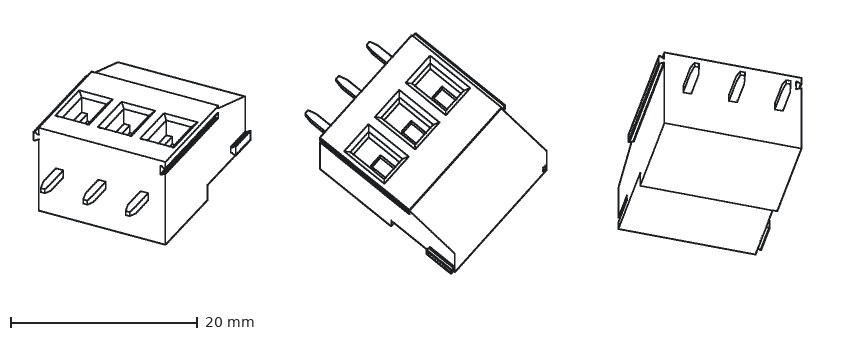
import cadquery as cq

body_width = 15.2
body_height = 10.5
body_depth = 19.0
half_width = body_width / 2

top_depth = 12.6
ledge_drop = 0.32
slope_drop = 2.4
back_radius = 0.28
foot_depth = 10.03
step_height = 1.9

pole_count = 3
pole_pitch = 5.08
pin_size = 0.9
pin_height = 5.52
pin_straight = 3.0
pin_tip = 1.01
pin_tip_size = 0.5

pocket_width = 4.02
pocket_length = 5.65
pocket_front = 3.0
funnel_depth = 0.5
funnel_side_inset = 0.5
funnel_end_inset = 0.45
pocket_depth = 2.4
slot_width = 1.6
slot_length = 2.48
slot_depth = 0.92

rail_reach = 0.62

upper_drop = 1.22
upper_neck_height = 0.62
upper_head_height = 1.1
upper_neck_reach = 0.1
upper_flare_reach = 0.48
upper_tip_bevel_reach = 0.07
upper_tip_bevel_height = 0.05

lower_drop = 7.22
lower_length = 3.52
lower_neck_height = 0.7
lower_head_height = 1.15
lower_neck_reach = 0.18
lower_flare_reach = 0.53

upper_steps = [
    (0, upper_neck_height),
    (upper_neck_reach, upper_neck_height),
    (upper_flare_reach, upper_head_height),
    (rail_reach - upper_tip_bevel_reach, upper_head_height),
    (rail_reach, upper_head_height - 2 * upper_tip_bevel_height),
]
lower_steps = [
    (0, lower_neck_height),
    (lower_neck_reach, lower_neck_height),
    (lower_flare_reach, lower_head_height),
    (rail_reach, lower_head_height),
]


def make_body():
    slope_end = body_height - slope_drop
    profile = [
        (0, 0),
        (foot_depth, 0),
        (foot_depth, step_height),
        (body_depth, step_height),
        (body_depth, slope_end),
        (top_depth, body_height - ledge_drop),
        (top_depth, body_height),
        (0, body_height),
    ]
    body = cq.Workplane("YZ").polyline(profile).close().extrude(half_width, both=True)
    back_top_edge = cq.selectors.NearestToPointSelector((0, body_depth, slope_end))
    return body.edges(back_top_edge).fillet(back_radius)


def dovetail(root_x, direction, drop, steps, y_start, y_end):
    """Bar along Y, flaring from its root at root_x towards direction (+1 or -1) in X."""
    z = body_height - drop
    upper_side = [(root_x + direction * reach, z + height / 2) for reach, height in steps]
    lower_side = [(root_x + direction * reach, z - height / 2) for reach, height in reversed(steps)]
    section = cq.Workplane("XZ", origin=(0, y_end, 0)).polyline(upper_side + lower_side).close()
    return section.extrude(y_end - y_start)


def upper_dovetail(root_x):
    return dovetail(root_x, -1, upper_drop, upper_steps, 0, top_depth)


def lower_dovetail(root_x):
    return dovetail(root_x, 1, lower_drop, lower_steps, body_depth - lower_length, body_depth)


def make_pocket(x):
    inner_width = pocket_width - 2 * funnel_side_inset
    inner_length = pocket_length - 2 * funnel_end_inset
    center_y = pocket_front + pocket_length / 2
    funnel = (
        cq.Workplane("XY", origin=(x, center_y, body_height))
        .rect(pocket_width, pocket_length)
        .workplane(offset=-funnel_depth)
        .rect(inner_width, inner_length)
        .loft(ruled=True)
    )
    well = (
        cq.Workplane("XY", origin=(x, center_y, body_height - funnel_depth))
        .rect(inner_width, inner_length)
        .extrude(funnel_depth - pocket_depth)
    )
    slot_y = center_y + (inner_length - slot_length) / 2
    slot = (
        cq.Workplane("XY", origin=(x, slot_y, body_height - pocket_depth))
        .rect(slot_width, slot_length)
        .extrude(-slot_depth)
    )
    return funnel.union(well).union(slot)


def make_pin(x):
    shank = (
        cq.Workplane("XZ", origin=(x, 0, pin_height))
        .rect(pin_size, pin_size)
        .extrude(pin_straight)
    )
    tip = (
        cq.Workplane("XZ", origin=(x, -pin_straight, pin_height))
        .rect(pin_size, pin_size)
        .workplane(offset=pin_tip)
        .rect(pin_tip_size, pin_tip_size)
        .loft(ruled=True)
    )
    return shank.union(tip)


result = make_body()

result = result.cut(upper_dovetail(half_width)).cut(lower_dovetail(-half_width))
result = result.union(upper_dovetail(-half_width)).union(lower_dovetail(half_width))

for pole in range(pole_count):
    pole_x = (pole - (pole_count - 1) / 2) * pole_pitch
    result = result.cut(make_pocket(pole_x)).union(make_pin(pole_x))